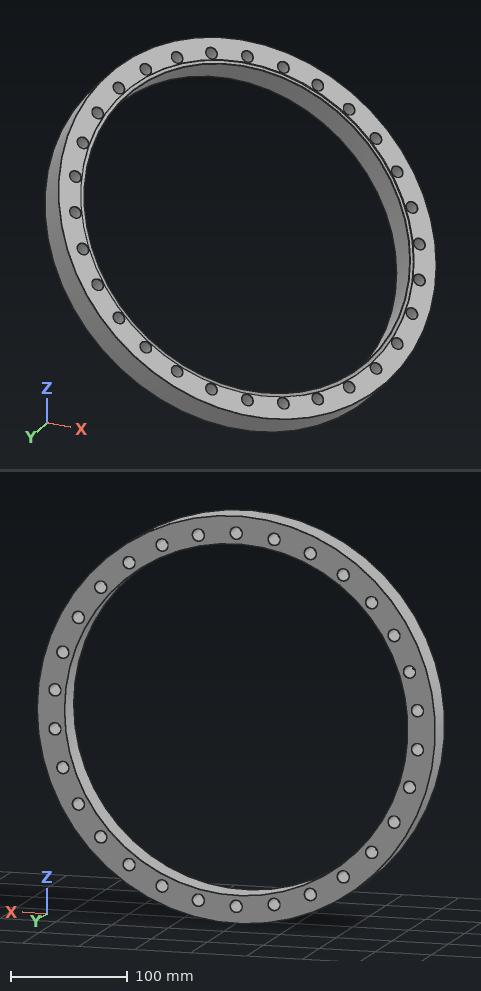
import cadquery as cq
import math

outer_diameter = 355.5
thickness = 28.5
bore_diameter = 306.0
edge_break = 0.5

recess_diameter = 313.5
recess_depth = 1.8
knife_edge_angle = 20.0
knife_edge_width = 0.55

bolt_count = 30
bolt_circle_diameter = 325.5
bolt_hole_diameter = 10.3

outer_radius = outer_diameter / 2
bore_radius = bore_diameter / 2
recess_radius = recess_diameter / 2
front = -thickness / 2
back = thickness / 2


def ring_body():
    """Revolve the ring section, drawn as (radius, Y), around the Y axis."""
    crest_radius = bore_radius + knife_edge_width
    recess_floor = front + recess_depth
    crest = recess_floor - (recess_radius - crest_radius) * math.tan(math.radians(knife_edge_angle))
    section = [
        (bore_radius, back - edge_break),
        (bore_radius + edge_break, back),
        (outer_radius - edge_break, back),
        (outer_radius, back - edge_break),
        (outer_radius, front + edge_break),
        (outer_radius - edge_break, front),
        (recess_radius, front),
        (recess_radius, recess_floor),
        (crest_radius, crest),
        (bore_radius, crest + knife_edge_width),
    ]
    return cq.Workplane("XY").polyline(section).close().revolve(360, (0, 0, 0), (0, 1, 0))


def bolt_hole_tool():
    """Revolved cutter for one hole along Y, widened at both mouths by the edge break."""
    hole_radius = bolt_hole_diameter / 2
    mouth_radius = hole_radius + edge_break
    section = [
        (0, front),
        (mouth_radius, front),
        (hole_radius, front + edge_break),
        (hole_radius, back - edge_break),
        (mouth_radius, back),
        (0, back),
    ]
    return cq.Workplane("XY").polyline(section).close().revolve(360, (0, 0, 0), (0, 1, 0))


def drill_bolt_holes(body):
    """Cut the bolt circle, turning the topmost hole around the ring axis."""
    top_hole = bolt_hole_tool().translate((0, 0, bolt_circle_diameter / 2))
    for i in range(bolt_count):
        body = body.cut(top_hole.rotate((0, 0, 0), (0, 1, 0), 360 * i / bolt_count))
    return body


result = drill_bolt_holes(ring_body())